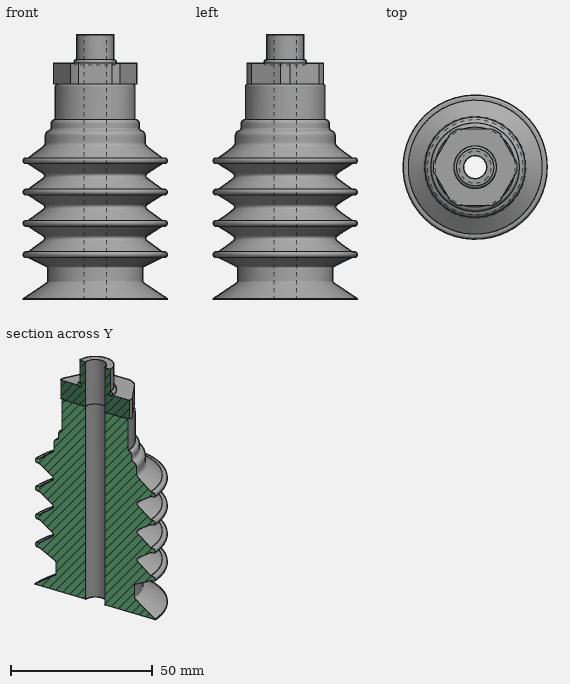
import cadquery as cq
import math

total_height = 93.5
bore_diameter = 8.0

nipple_diameter = 13.2
nipple_length = 10.0
hex_height = 7.5
hex_across_flats = 27.0
hex_corner_diameter = 29.45
hex_turn = 30.0
hex_top_z = total_height - nipple_length
hex_bottom_z = hex_top_z - hex_height

ring_section_radius = 0.9
ring_center_radius = nipple_diameter / 2
ring_center_z = hex_top_z + 0.3

sleeve_radius = 14.1
sleeve_top_round = 0.8
shoulder_round = 1.5
upper_shoulder_radius = sleeve_radius + shoulder_round
lower_shoulder_radius = 17.7
shoulder_top_z = 63.6
shoulder_inner_round = 0.9
shoulder_outer_round = 2.0
lower_shoulder_z = 57.8
shoulder_foot_z = 54.5
shoulder_foot_round = 2.0

fold_count = 4
fold_pitch = 11.0
top_fold_z = 49.0
cup_radius = 51.0 / 2
lip_round = 1.0
lip_inner_radius = 23.7
waist_corner_radius = 17.1
waist_drop = 5.2
waist_round = 1.0

neck_radius = 16.8
neck_top_z = 11.5
neck_bottom_z = 6.2
neck_round = 0.5
rim_height = 0.4


def rounded_corner(before, corner, after, radius):
    """Start, middle and end points of the arc that rounds a corner of an outline."""
    to_before = (cq.Vector(*before) - cq.Vector(*corner)).normalized()
    to_after = (cq.Vector(*after) - cq.Vector(*corner)).normalized()
    half_angle = to_before.getAngle(to_after) / 2
    tangent_length = radius / math.tan(half_angle)
    middle_distance = radius / math.sin(half_angle) - radius
    bisector = (to_before + to_after).normalized()
    points = (
        cq.Vector(*corner) + to_before * tangent_length,
        cq.Vector(*corner) + bisector * middle_distance,
        cq.Vector(*corner) + to_after * tangent_length,
    )
    return [(point.x, point.y) for point in points]


def add_rounded_corner(outline, before, corner, after, radius):
    """Draw up to a corner and around it."""
    start, middle, end = rounded_corner(before, corner, after, radius)
    return outline.lineTo(*start).threePointArc(middle, end)


def add_shoulders(outline, first_lip_point):
    """Stepped shoulders between the sleeve and the first cone."""
    round_middle = shoulder_round * math.cos(math.pi / 4)
    outline = outline.lineTo(sleeve_radius, shoulder_top_z).threePointArc(
        (sleeve_radius + round_middle, shoulder_top_z - shoulder_round + round_middle),
        (upper_shoulder_radius, shoulder_top_z - shoulder_round),
    )

    center_gap = shoulder_inner_round + shoulder_outer_round
    outer_center_radius = lower_shoulder_radius - shoulder_outer_round
    inner_center_radius = upper_shoulder_radius + shoulder_inner_round
    center_run = inner_center_radius - outer_center_radius
    center_rise = math.sqrt(center_gap**2 - center_run**2)
    touch_share = shoulder_outer_round / center_gap
    touch_point = (
        outer_center_radius + center_run * touch_share,
        lower_shoulder_z + center_rise * touch_share,
    )
    outline = (
        outline.lineTo(upper_shoulder_radius, lower_shoulder_z + center_rise)
        .tangentArcPoint(touch_point, relative=False)
        .tangentArcPoint((lower_shoulder_radius, lower_shoulder_z), relative=False)
    )
    return add_rounded_corner(
        outline,
        (lower_shoulder_radius, lower_shoulder_z),
        (lower_shoulder_radius, shoulder_foot_z),
        first_lip_point,
        shoulder_foot_round,
    )


def add_lip(outline, lip_z):
    """One fold lip: flat top, half-round edge and flat bottom."""
    lip_center_radius = cup_radius - lip_round
    return (
        outline.lineTo(lip_inner_radius, lip_z + lip_round)
        .lineTo(lip_center_radius, lip_z + lip_round)
        .threePointArc((cup_radius, lip_z), (lip_center_radius, lip_z - lip_round))
        .lineTo(lip_inner_radius, lip_z - lip_round)
    )


def add_waist(outline, lip_z):
    """Rounded waist between the lip at lip_z and the next lip below it."""
    return add_rounded_corner(
        outline,
        (lip_inner_radius, lip_z - lip_round),
        (waist_corner_radius, lip_z - waist_drop),
        (lip_inner_radius, lip_z - fold_pitch + lip_round),
        waist_round,
    )


def add_neck(outline, last_lip_point):
    """Cylindrical neck between the last cone and the skirt, with a concave round at each end."""
    neck_top = (neck_radius, neck_top_z)
    neck_bottom = (neck_radius, neck_bottom_z)
    outline = add_rounded_corner(outline, last_lip_point, neck_top, neck_bottom, neck_round)
    return add_rounded_corner(outline, neck_top, neck_bottom, (cup_radius, rim_height), neck_round)


def make_cup():
    """Bellows suction cup, revolved around Z and bored through."""
    bore_radius = bore_diameter / 2
    outline = (
        cq.Workplane("XZ")
        .moveTo(bore_radius, 0)
        .lineTo(bore_radius, hex_bottom_z)
    )
    outline = add_rounded_corner(
        outline,
        (bore_radius, hex_bottom_z),
        (sleeve_radius, hex_bottom_z),
        (sleeve_radius, shoulder_top_z),
        sleeve_top_round,
    )
    outline = add_shoulders(outline, (lip_inner_radius, top_fold_z + lip_round))
    for fold in range(fold_count):
        lip_z = top_fold_z - fold * fold_pitch
        outline = add_lip(outline, lip_z)
        if fold < fold_count - 1:
            outline = add_waist(outline, lip_z)
    lowest_lip_z = top_fold_z - (fold_count - 1) * fold_pitch
    outline = add_neck(outline, (lip_inner_radius, lowest_lip_z - lip_round))
    outline = outline.lineTo(cup_radius, rim_height).lineTo(cup_radius, 0).close()
    return outline.revolve(360, (0, 0, 0), (0, 1, 0))


def make_ring():
    """Sealing ring of round section."""
    return (
        cq.Workplane("XZ")
        .center(ring_center_radius, ring_center_z)
        .circle(ring_section_radius)
        .revolve(360, (-ring_center_radius, 0, 0), (-ring_center_radius, 1, 0))
    )


def make_fitting(ring):
    """Hexagon with a nipple, bored through and grooved for the sealing ring."""
    hexagon = (
        cq.Workplane("XY")
        .workplane(offset=hex_bottom_z)
        .transformed(rotate=(0, 0, hex_turn))
        .polygon(6, hex_across_flats, circumscribed=True)
        .extrude(hex_height)
    )
    corner_cylinder = (
        cq.Workplane("XY")
        .workplane(offset=hex_bottom_z)
        .circle(hex_corner_diameter / 2)
        .extrude(hex_height)
    )
    nipple = (
        cq.Workplane("XY")
        .workplane(offset=hex_top_z)
        .circle(nipple_diameter / 2)
        .extrude(nipple_length)
    )
    bore = (
        cq.Workplane("XY")
        .workplane(offset=hex_bottom_z)
        .circle(bore_diameter / 2)
        .extrude(hex_height + nipple_length)
    )
    return hexagon.intersect(corner_cylinder).union(nipple).cut(bore).cut(ring)


cup = make_cup()
ring = make_ring()
fitting = make_fitting(ring)

result = cq.Compound.makeCompound([cup.val(), ring.val(), fitting.val()])